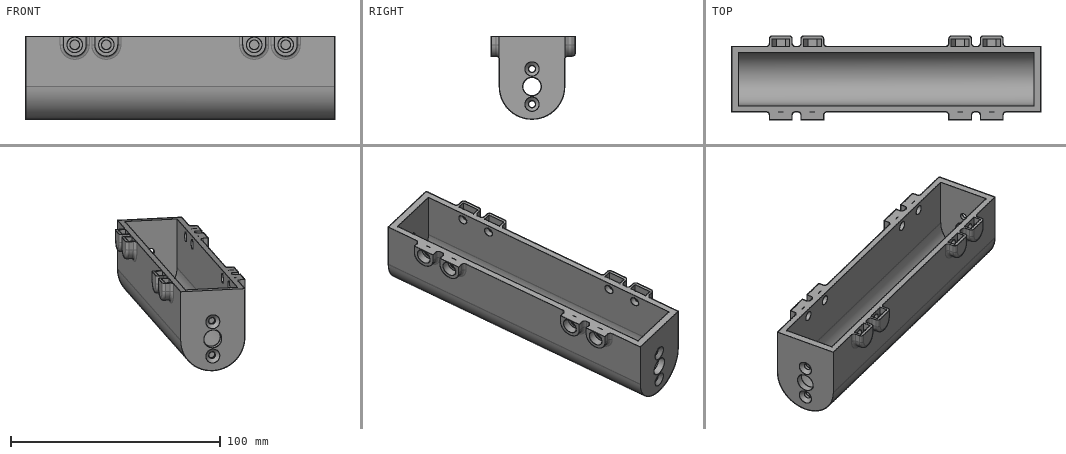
import cadquery as cq
import math

length = 148.0
wall = 3.0
end_wall = 3.4
outer_radius = 15.7
inner_radius = outer_radius - wall
side_height = 24.0
axis_z = -side_height

boss_pitch = 15.1
pair_inset = 31.1
boss_radius = 5.5
boss_axis_z = -4.0
screw_boss_reach = 3.8
nut_boss_reach = 5.0
boss_fillet = 1.5
rim_margin = 0.7
screw_hole_diameter = 4.6
head_bore_diameter = 7.4
head_bore_depth = screw_boss_reach
nut_across_corners = 8.6
nut_slot_depth = 3.5

shaft_hole_diameter = 8.7
end_screw_offset = 8.5
end_screw_diameter = 3.3
countersink_diameter = 6.8
countersink_depth = (countersink_diameter - end_screw_diameter) / 2

pair_middles = [pair_inset, length - pair_inset]
boss_positions = [middle + side * boss_pitch / 2 for middle in pair_middles for side in (-1, 1)]


def u_profile(start_x, radius):
    """Flat-sided, round-bottomed section across the trough."""
    return (
        cq.Workplane("YZ", origin=(start_x, 0, 0))
        .moveTo(-radius, 0)
        .lineTo(-radius, axis_z)
        .threePointArc((0, axis_z - radius), (radius, axis_z))
        .lineTo(radius, 0)
        .close()
    )


def y_plane(x, y):
    """Sketch plane on a boss axis; local x is X, local y is Z, and extrusion runs toward -Y."""
    return cq.Workplane("XZ", origin=(x, y, boss_axis_z))


def boss(x, start_y, end_y):
    """Upright boss with a round lower end, from start_y toward -Y to end_y."""
    return (
        y_plane(x, start_y)
        .moveTo(-boss_radius, -boss_axis_z)
        .lineTo(-boss_radius, 0)
        .threePointArc((0, -boss_radius), (boss_radius, 0))
        .lineTo(boss_radius, -boss_axis_z)
        .close()
        .extrude(start_y - end_y)
    )


def nut_boss(x):
    """Boss on the +Y side with its outer edge rounded below the rim."""
    block = boss(x, outer_radius + nut_boss_reach, inner_radius)
    outer_edges = block.faces(">Y").edges().filter(lambda edge: edge.Center().z < -rim_margin)
    return outer_edges.fillet(boss_fillet)


def nut_slot(x):
    """Hexagonal nut seat, corners toward +-X, open upward through the rim."""
    corner = nut_across_corners / 2
    half_flat = corner * math.sqrt(3) / 2
    return (
        y_plane(x, outer_radius + nut_slot_depth)
        .polyline([
            (-corner, -boss_axis_z),
            (-corner, 0),
            (-corner / 2, -half_flat),
            (corner / 2, -half_flat),
            (corner, 0),
            (corner, -boss_axis_z),
        ])
        .close()
        .extrude(nut_slot_depth)
    )


def screw_bore(x):
    """Screw hole across both walls with a head bore on the -Y side."""
    front_y = -outer_radius - screw_boss_reach
    shank = y_plane(x, outer_radius).circle(screw_hole_diameter / 2).extrude(outer_radius - front_y)
    head = y_plane(x, front_y + head_bore_depth).circle(head_bore_diameter / 2).extrude(head_bore_depth)
    return shank.union(head)


def is_boss_root(edge):
    """Edges where a boss meets a flat side, leaving out the rim and the lower tangent lines."""
    center = edge.Center()
    on_side = math.isclose(abs(center.y), outer_radius, abs_tol=0.01)
    near_boss = any(abs(center.x - x) < boss_radius + boss_fillet for x in boss_positions)
    below_rim = axis_z / 2 < center.z < -rim_margin
    return on_side and near_boss and below_rim


def countersunk_hole(z):
    """Screw hole along X through both end walls, countersunk from outside at each end."""
    hole = cq.Workplane("YZ", origin=(0, 0, z)).circle(end_screw_diameter / 2).extrude(length)
    for start_x, direction in ((0, 1), (length, -1)):
        cone = cq.Solid.makeCone(
            countersink_diameter / 2,
            end_screw_diameter / 2,
            countersink_depth,
            pnt=cq.Vector(start_x, 0, z),
            dir=cq.Vector(direction, 0, 0),
        )
        hole = hole.union(cq.Workplane(cone))
    return hole


body = u_profile(0, outer_radius).extrude(length)
for x in boss_positions:
    body = body.union(boss(x, -inner_radius, -outer_radius - screw_boss_reach))
    body = body.union(nut_boss(x))
body = body.edges().filter(is_boss_root).fillet(boss_fillet)

body = body.cut(u_profile(end_wall, inner_radius).extrude(length - 2 * end_wall))

for x in boss_positions:
    body = body.cut(screw_bore(x))
    body = body.cut(nut_slot(x))

shaft_hole = cq.Workplane("YZ", origin=(0, 0, axis_z)).circle(shaft_hole_diameter / 2).extrude(length)
body = body.cut(shaft_hole)
for side in (-1, 1):
    body = body.cut(countersunk_hole(axis_z + side * end_screw_offset))

result = body